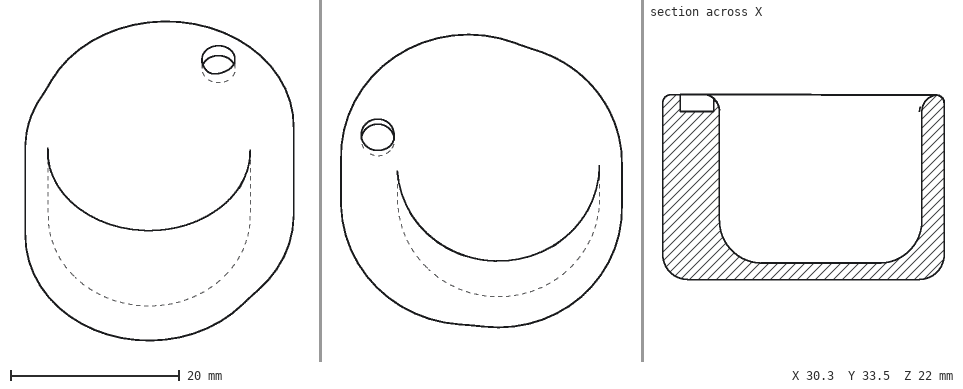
import cadquery as cq
import math

length = 33.47
height = 22.0
back_diameter = 30.3
back_radius = back_diameter / 2
front_radius = 14.7
waist_radius = 50.0
back_y = length / 2 - back_radius
front_y = front_radius - length / 2
bottom_round = 3.0
rim_round = 1.0

bore_diameter = 24.0
bore_round = 2.0
floor_thickness = 2.0
bowl_round = 5.0

pin_hole_diameter = 3.9
pin_hole_y = 12.62
pin_hole_depth = 2.0


def toward(start, end, distance):
    """Point at a distance from start on the line to end."""
    fraction = distance / math.dist(start, end)
    return tuple(a + (b - a) * fraction for a, b in zip(start, end))


def mirrored(point):
    return (-point[0], point[1])


def make_body():
    spacing = back_y - front_y
    back_reach = back_radius + waist_radius
    front_reach = front_radius + waist_radius
    drop = (back_reach**2 - front_reach**2 + spacing**2) / (2 * spacing)
    waist_center = (math.sqrt(back_reach**2 - drop**2), back_y - drop)
    back_tangent = toward((0, back_y), waist_center, back_radius)
    front_tangent = toward((0, front_y), waist_center, front_radius)
    chord_middle = tuple((a + b) / 2 for a, b in zip(back_tangent, front_tangent))
    waist_middle = toward(waist_center, chord_middle, waist_radius)
    body = (
        cq.Workplane("XY")
        .moveTo(*back_tangent)
        .threePointArc((0, length / 2), mirrored(back_tangent))
        .threePointArc(mirrored(waist_middle), mirrored(front_tangent))
        .threePointArc((0, -length / 2), front_tangent)
        .threePointArc(waist_middle, back_tangent)
        .close()
        .extrude(height)
    )
    return body.faces("<Z").edges().fillet(bottom_round)


def make_cup_cutter():
    cutter = (
        cq.Workplane("XY", origin=(0, front_y, floor_thickness))
        .circle(bore_diameter / 2)
        .extrude(height - floor_thickness)
    )
    return cutter.faces("<Z").edges().fillet(bowl_round)


def make_pin_hole():
    return (
        cq.Workplane("XY", origin=(0, pin_hole_y, height - pin_hole_depth))
        .circle(pin_hole_diameter / 2)
        .extrude(pin_hole_depth)
    )


def round_rim(body):
    inner_edge = cq.selectors.RadiusNthSelector(0)
    body = body.faces(">Z").edges("%CIRCLE").edges(inner_edge).fillet(bore_round)
    rim_zone = cq.selectors.BoxSelector(
        (-length, -length, height - rim_round),
        (length, length, height + rim_round),
    )
    return body.edges(rim_zone).fillet(rim_round)


cup = round_rim(make_body().cut(make_cup_cutter()))
result = cup.cut(make_pin_hole())